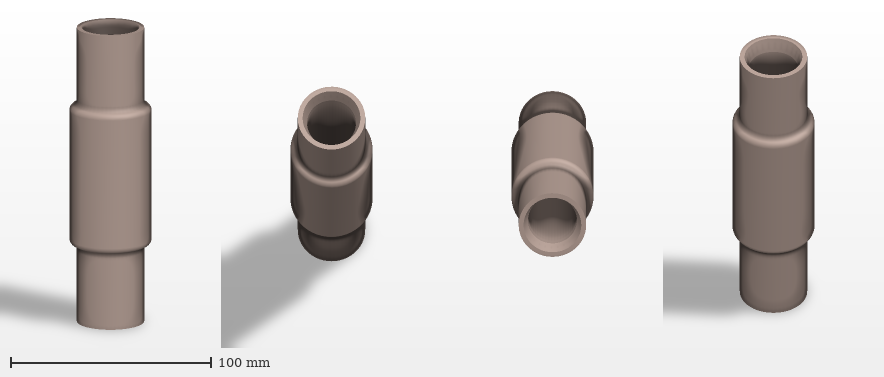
import cadquery as cq
import math

total_length = 152.0
body_diameter = 41.0
end_tube_diameter = 33.7

end_to_shoulder_middle = 40.0
shoulder_arc_radius = 3.0

bore_diameter = 24.4
mouth_diameter = 28.8
mouth_depth = 7.0

half_length = total_length / 2
body_radius = body_diameter / 2
end_tube_radius = end_tube_diameter / 2
bore_radius = bore_diameter / 2
mouth_radius = mouth_diameter / 2
mouth_bottom_z = half_length - mouth_depth

shoulder_middle_z = half_length - end_to_shoulder_middle
shoulder_middle_radius = (body_radius + end_tube_radius) / 2
arc_width = (body_radius - end_tube_radius) / 2
arc_height = math.sqrt(shoulder_arc_radius**2 - (shoulder_arc_radius - arc_width) ** 2)
shoulder_inner_z = shoulder_middle_z - arc_height
shoulder_outer_z = shoulder_middle_z + arc_height


def add_shoulder(section, start, middle, end):
    """Run straight to the shoulder's start, then along its two tangent arcs."""
    section = section.lineTo(*start)
    section = section.tangentArcPoint(middle, relative=False)
    return section.tangentArcPoint(end, relative=False)


def add_outer_wall(section):
    """Trace the outside of the wall from the bottom end to the top end."""
    section = section.lineTo(end_tube_radius, -half_length)
    section = add_shoulder(
        section,
        start=(end_tube_radius, -shoulder_outer_z),
        middle=(shoulder_middle_radius, -shoulder_middle_z),
        end=(body_radius, -shoulder_inner_z),
    )
    section = add_shoulder(
        section,
        start=(body_radius, shoulder_inner_z),
        middle=(shoulder_middle_radius, shoulder_middle_z),
        end=(end_tube_radius, shoulder_outer_z),
    )
    return section.lineTo(end_tube_radius, half_length)


def add_bore_wall(section):
    """Trace the top mouth, the bore and the bottom mouth, back to the start."""
    section = section.lineTo(mouth_radius, half_length)
    section = section.lineTo(bore_radius, mouth_bottom_z)
    section = section.lineTo(bore_radius, -mouth_bottom_z)
    return section.close()


def make_sleeve():
    """Revolve the wall section around the Z axis."""
    section = cq.Workplane("XZ").moveTo(mouth_radius, -half_length)
    section = add_outer_wall(section)
    section = add_bore_wall(section)
    return section.revolve(360, (0, 0, 0), (0, 1, 0))


result = make_sleeve()